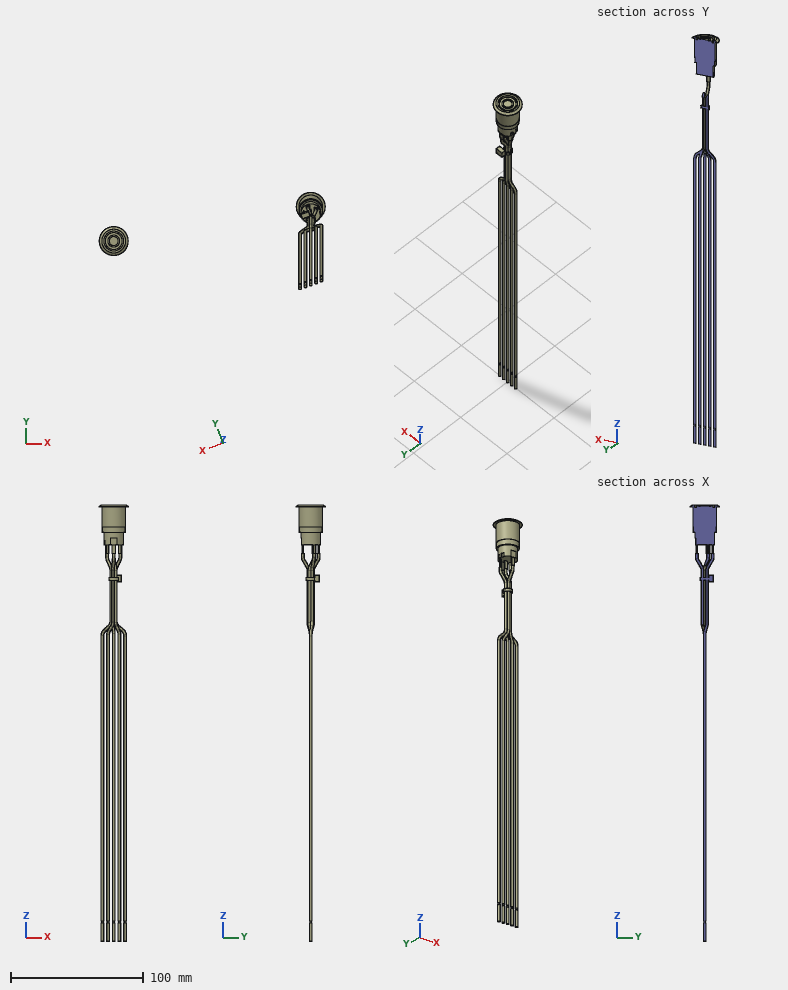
import cadquery as cq
import math


LENGTH = 330.5
FLANGE_DIAMETER = 22.0
FLANGE_RIM_TOP = -1.2
FLANGE_BOTTOM = -1.7
BODY_DIAMETER = 18.0
BODY_BOTTOM = -16.85
COLLAR_DIAMETER = 17.5
COLLAR_BOTTOM = -20.95
BASE_DIAMETER = 15.0
BASE_BOTTOM = -30.3

WELL_DIAMETER = 15.0
WELL_DEPTH = 2.0
BUTTON_DIAMETER = 12.8
BUTTON_TOP = -0.6
GROOVE_OUTER = 9.0
GROOVE_INNER = 6.8
GROOVE_DEPTH = 0.5

WINDOW_WIDTH = 5.0
WINDOW_TOP = -25.2
WINDOW_DEPTH = 0.6
NOTCH_WIDTH = 2.4
NOTCH_OFFSET = 2.5
NOTCH_TOP = -27.2
NOTCH_DEPTH = 1.0

TERMINAL_WIDTH = 2.8
TERMINAL_THICKNESS = 1.2
TERMINAL_BOTTOM = -37.0
TERMINAL_EMBED = 1.0
TERMINAL_RADIUS = 6.0
SIDE_TERMINAL_X = 5.0
SIDE_TERMINAL_Y = 2.5
SIDE_TERMINAL_TURN = 45.0

WIRE_DIAMETER = 2.2
WIRE_PITCH = 4.3
BUNDLE_RADIUS = 1.8
BEND_RADIUS = 5.5
UPPER_BEND = -41.0
BUNDLE_TOP = -48.2
BUNDLE_BOTTOM = -90.6
FAN_BOTTOM = -96.6
STRIP_TOP = -315.3
STRIP_BOTTOM = -316.7
STRIP_DIAMETER = 1.5

TIE_DIAMETER = 7.2
TIE_TOP = -55.0
TIE_BOTTOM = -57.2
TIE_HEAD_TOP = -53.2
TIE_HEAD_BOTTOM = -58.4
TIE_HEAD_SIZE = (6.2, 3.6)
TIE_HEAD_PLACE = (2.6, 4.8)


def disc(diameter, top, bottom, x=0.0, y=0.0):
    """Upright cylinder between two heights."""
    return (
        cq.Workplane("XY", origin=(x, y, bottom))
        .circle(diameter / 2)
        .extrude(top - bottom)
    )


def block(x_size, y_size, top, bottom, x=0.0, y=0.0):
    """Upright box between two heights, centred on (x, y)."""
    return (
        cq.Workplane("XY", origin=(x, y, bottom))
        .rect(x_size, y_size)
        .extrude(top - bottom)
    )


def make_flange():
    """Rim of the housing, sloping down from the body's top edge to a thin edge."""
    body_radius = BODY_DIAMETER / 2
    flange_radius = FLANGE_DIAMETER / 2
    outline = [
        (0, 0),
        (body_radius, 0),
        (flange_radius, FLANGE_RIM_TOP),
        (flange_radius, FLANGE_BOTTOM),
        (0, FLANGE_BOTTOM),
    ]
    return cq.Workplane("XZ").polyline(outline).close().revolve(360, (0, 0), (0, 1))


def make_button():
    """Push button with a ring groove in its top."""
    button = disc(BUTTON_DIAMETER, BUTTON_TOP, -WELL_DEPTH)
    groove_bottom = BUTTON_TOP - GROOVE_DEPTH
    groove = disc(GROOVE_OUTER, BUTTON_TOP, groove_bottom)
    groove = groove.cut(disc(GROOVE_INNER, BUTTON_TOP, groove_bottom))
    return button.cut(groove)


def cut_base_wall(housing):
    """Cut the window and the two notches, all open at the bottom of the base."""
    wall = BASE_DIAMETER / 2
    housing = housing.cut(block(WINDOW_WIDTH, 2 * WINDOW_DEPTH, WINDOW_TOP, BASE_BOTTOM, y=-wall))
    for side in (-1, 1):
        notch_y = side * NOTCH_OFFSET
        notch = block(2 * NOTCH_DEPTH, NOTCH_WIDTH, NOTCH_TOP, BASE_BOTTOM, x=-wall, y=notch_y)
        housing = housing.cut(notch)
    return housing


def make_housing():
    housing = disc(BODY_DIAMETER, 0, BODY_BOTTOM)
    housing = housing.union(make_flange())
    housing = housing.union(disc(COLLAR_DIAMETER, BODY_BOTTOM, COLLAR_BOTTOM))
    housing = housing.union(disc(BASE_DIAMETER, COLLAR_BOTTOM, BASE_BOTTOM))
    housing = housing.cut(disc(WELL_DIAMETER, 0, -WELL_DEPTH))
    housing = housing.union(make_button())
    return cut_base_wall(housing)


def terminal(x, y, turn):
    """Flat terminal tab hanging from the housing, turned about its own axis."""
    top = BASE_BOTTOM + TERMINAL_EMBED
    return (
        cq.Workplane("XY", origin=(x, y, TERMINAL_BOTTOM))
        .transformed(rotate=(0, 0, turn))
        .rect(TERMINAL_WIDTH, TERMINAL_THICKNESS)
        .extrude(top - TERMINAL_BOTTOM)
    )


def bend_arc(before, corner, after):
    """Start, middle and end of the arc that rounds a corner of a wire's centre line."""
    backward = (before - corner).normalized()
    forward = (after - corner).normalized()
    half_turn = (math.pi - backward.getAngle(forward)) / 2
    tangent_length = BEND_RADIUS * math.tan(half_turn)
    inward = BEND_RADIUS / math.cos(half_turn) - BEND_RADIUS
    middle = corner + (backward + forward).normalized() * inward
    return corner + backward * tangent_length, middle, corner + forward * tangent_length


def wire_path(points):
    """Centre line through the points, with rounded corners."""
    corners = [cq.Vector(*point) for point in points]
    edges = []
    start = corners[0]
    for before, corner, after in zip(corners, corners[1:], corners[2:]):
        arc = bend_arc(before, corner, after)
        edges.append(cq.Edge.makeLine(start, arc[0]))
        edges.append(cq.Edge.makeThreePointArc(*arc))
        start = arc[2]
    edges.append(cq.Edge.makeLine(start, corners[-1]))
    return cq.Wire.assembleEdges(edges)


def make_wire(terminal_place, bundle_place, end_x):
    """Wire from its terminal through the bundle to a stripped neck and a short end piece."""
    points = [
        (*terminal_place, TERMINAL_BOTTOM),
        (*terminal_place, UPPER_BEND),
        (*bundle_place, BUNDLE_TOP),
        (*bundle_place, BUNDLE_BOTTOM),
        (end_x, 0, FAN_BOTTOM),
        (end_x, 0, STRIP_TOP),
    ]
    profile = cq.Workplane("XY", origin=points[0]).circle(WIRE_DIAMETER / 2)
    wire = profile.sweep(cq.Workplane(wire_path(points)))
    wire = wire.union(disc(STRIP_DIAMETER, STRIP_TOP, STRIP_BOTTOM, x=end_x))
    return wire.union(disc(WIRE_DIAMETER, STRIP_BOTTOM, -LENGTH, x=end_x))


def make_tie():
    head = block(*TIE_HEAD_SIZE, TIE_HEAD_TOP, TIE_HEAD_BOTTOM, *TIE_HEAD_PLACE)
    return disc(TIE_DIAMETER, TIE_TOP, TIE_BOTTOM).union(head)


TERMINALS = [
    (-SIDE_TERMINAL_X, SIDE_TERMINAL_Y, SIDE_TERMINAL_TURN),
    (0, -TERMINAL_RADIUS, 0),
    (0, TERMINAL_RADIUS, 0),
    (0, SIDE_TERMINAL_Y, 0),
    (SIDE_TERMINAL_X, SIDE_TERMINAL_Y, -SIDE_TERMINAL_TURN),
]
BUNDLE_ANGLES = [180, 252, 108, 324, 36]

result = make_housing()
for index, (x, y, turn) in enumerate(TERMINALS):
    angle = math.radians(BUNDLE_ANGLES[index])
    bundle_place = (BUNDLE_RADIUS * math.cos(angle), BUNDLE_RADIUS * math.sin(angle))
    end_x = (index - (len(TERMINALS) - 1) / 2) * WIRE_PITCH
    result = result.union(terminal(x, y, turn))
    result = result.union(make_wire((x, y), bundle_place, end_x))
result = result.union(make_tie())